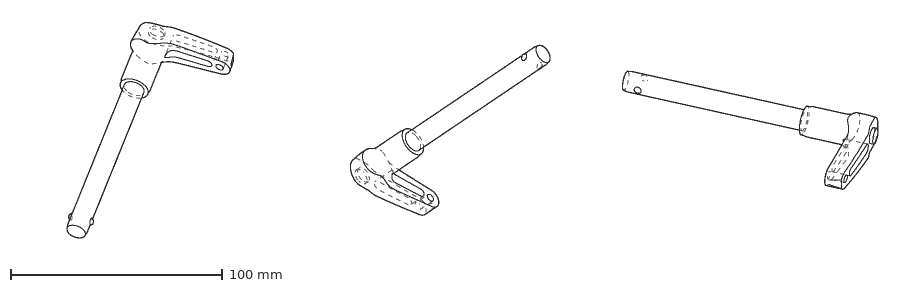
import cadquery as cq
import math


total_length = 125.4
shank_radius = 5.0
tip_radius = 4.6
tip_length = 2.3

ball_radius = 1.9
ball_y = 7.8
ball_reach = 6.1

collar_radius = 7.4
collar_end_y = 89.7
collar_end_radius = 7.0
collar_step_y = 90.9
collar_taper_y = 92.4
flare_start_y = 109.3
flare_radius = 6.0
flare_top_y = flare_start_y + flare_radius

hub_radius = 7.9
hub_center_x = -1.9
taper_start_x = 1.3
end_radius = 5.0
end_center_x = 34.9
end_x = end_center_x + end_radius

hub_top_y = 123.6
hub_top_end_x = 3.1
hump_x = 7.8
hump_y = 124.6
crown_x = 23.0
crown_y = 123.8
end_top_x = 39.1
end_top_y = 122.0
end_bottom_y = 113.9

back_radius = 9.2
back_low_x = -9.8
back_low_y = 114.4
back_top_x = -8.7

slot_start_x = 8.0
slot_start_radius = 2.5
slot_end_x = 30.7
slot_end_radius = 2.1
lanyard_hole_x = 34.6
lanyard_hole_radius = 1.9

button_radius = 3.9

clearance = 12.5


def along_y(sketch_start_y):
    """Workplane facing +Y whose first axis is -X and second axis is Z."""
    return cq.Workplane(cq.Plane((0, sketch_start_y, 0), xDir=(-1, 0, 0), normal=(0, 1, 0)))


def cylinder_y(radius, start_y, end_y, center_x=0.0):
    return along_y(start_y).center(-center_x, 0).circle(radius).extrude(end_y - start_y)


def make_pin_and_collar():
    """Shank and collar as one turned profile."""
    return (
        cq.Workplane("XY")
        .lineTo(tip_radius, 0)
        .lineTo(shank_radius, tip_length)
        .lineTo(shank_radius, collar_end_y)
        .lineTo(collar_end_radius, collar_end_y)
        .lineTo(collar_end_radius, collar_step_y)
        .lineTo(collar_radius, collar_taper_y)
        .lineTo(collar_radius, flare_start_y)
        .lineTo(0, flare_start_y)
        .close()
        .revolve(360, (0, 0, 0), (0, 1, 0))
    )


def make_flare():
    """Trumpet-shaped flare that carries the collar into the handle."""
    mid_offset = flare_radius * math.sqrt(0.5)
    flare_center_x = collar_radius + flare_radius
    return (
        cq.Workplane("XY")
        .moveTo(0, flare_start_y)
        .lineTo(collar_radius, flare_start_y)
        .threePointArc(
            (flare_center_x - mid_offset, flare_start_y + mid_offset),
            (flare_center_x, flare_top_y),
        )
        .lineTo(0, flare_top_y)
        .close()
        .revolve(360, (0, 0, 0), (0, 1, 0))
    )


def make_handle_prism():
    """Tapered, round-ended handle outline extruded along the pin axis."""
    return (
        along_y(flare_start_y)
        .moveTo(-hub_center_x, hub_radius)
        .lineTo(-taper_start_x, hub_radius)
        .lineTo(-end_center_x, end_radius)
        .threePointArc((-end_x, 0), (-end_center_x, -end_radius))
        .lineTo(-taper_start_x, -hub_radius)
        .lineTo(-hub_center_x, -hub_radius)
        .threePointArc((hub_radius - hub_center_x, 0), (-hub_center_x, hub_radius))
        .close()
        .extrude(total_length - flare_start_y)
    )


def make_side_profile():
    """Arched handle seen from the side, thick enough to cover the full handle width."""
    hub_left_x = hub_center_x - hub_radius
    return (
        cq.Workplane("XY")
        .moveTo(hub_left_x, flare_top_y)
        .lineTo(hub_left_x, hub_top_y)
        .lineTo(hub_top_end_x, hub_top_y)
        .lineTo(hump_x, hump_y)
        .threePointArc((crown_x, crown_y), (end_top_x, end_top_y))
        .lineTo(end_x, end_bottom_y)
        .lineTo(flare_radius + collar_radius, flare_top_y)
        .close()
        .extrude(hub_radius + clearance, both=True)
    )


def make_back_trim():
    """Leaning cylinder for the hub back, joined to a block that leaves the rest untouched."""
    lean = cq.Vector(back_top_x - back_low_x, hub_top_y - back_low_y, 0).normalized()
    base = cq.Vector(back_low_x + back_radius, back_low_y, 0) - lean * clearance
    height = total_length - flare_start_y + 2 * clearance
    cylinder = cq.Workplane(cq.Solid.makeCylinder(back_radius, height, base, lean))
    block = cq.Workplane("XY").box(
        end_x + clearance, height, 2 * (hub_radius + clearance), centered=(False, False, True)
    )
    return cylinder.union(block.translate((0, base.y, 0)))


def make_slot():
    """Round-ended slot, slightly narrower toward the handle end."""
    first_x = slot_start_x + slot_start_radius
    last_x = slot_end_x - slot_end_radius
    return (
        along_y(flare_start_y)
        .moveTo(-first_x, slot_start_radius)
        .lineTo(-last_x, slot_end_radius)
        .threePointArc((-slot_end_x, 0), (-last_x, -slot_end_radius))
        .lineTo(-first_x, -slot_start_radius)
        .threePointArc((-slot_start_x, 0), (-first_x, slot_start_radius))
        .close()
        .extrude(total_length - flare_start_y)
    )


handle = make_side_profile().union(make_flare())
handle = handle.intersect(make_handle_prism()).intersect(make_back_trim())
handle = handle.cut(make_slot())
handle = handle.cut(cylinder_y(lanyard_hole_radius, flare_start_y, total_length, lanyard_hole_x))

button = cylinder_y(button_radius, flare_top_y, total_length)

result = make_pin_and_collar().union(handle).union(button)
for side in (-1, 1):
    ball_x = side * (ball_reach - ball_radius)
    result = result.union(cq.Workplane("XY").sphere(ball_radius).translate((ball_x, ball_y, 0)))